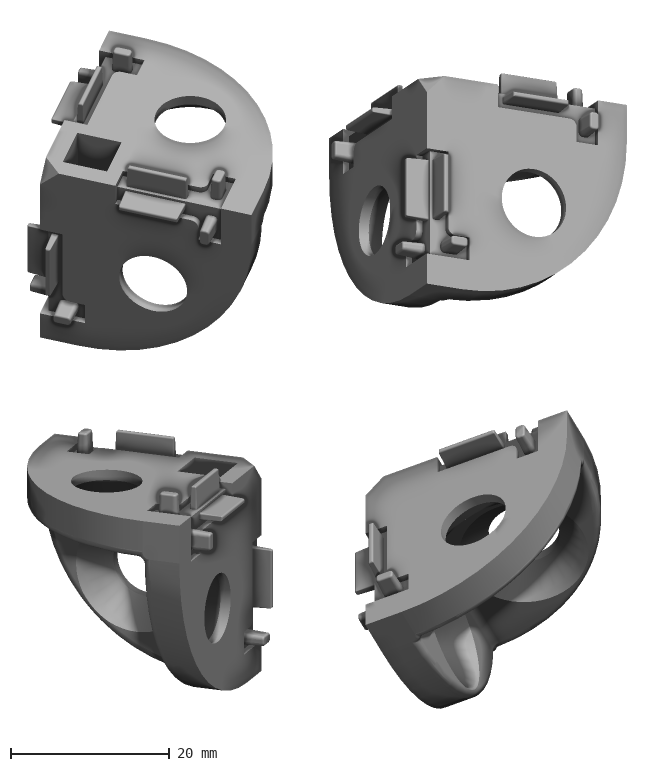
import cadquery as cq

OVERALL = 30.2
PIN_RISE = 2.17
SIDE = OVERALL - PIN_RISE
WALL = 5.0
OUTER_RADIUS = SIDE - WALL
INNER_FILLET = 1.0
CORNER_CUT = 2.5

WINDOW_CENTER = 15.0
WINDOW_RADIUS = 4.5
WINDOW_LAND = 1.4
FLARE_RADIUS = WINDOW_RADIUS + WALL - WINDOW_LAND

SEAT_DEPTH = 0.85
SEAT_START = 10.0
SEAT_END = 24.0
SEAT_WIDTH = 3.02
SEAT_LEG_LENGTH = 5.98
SEAT_LEG_WIDTH = 3.02
SEAT_FILLET = 1.0

PIN_DRAFT = 3.0
BLADE_LENGTH = 8.03
BLADE_THICKNESS = 0.97
BLADE_CENTER = (15.0, 1.72)
BLADE_CORNER = 0.2
PEG_WIDTH = 1.57
PEG_LENGTH = 2.6
PEG_CENTER = (22.47, 3.6)
PEG_CORNER = 0.57
TIP_ROUND = 0.25

SOCKET_SIDE = 5.85
SOCKET_CENTER = 5.22
SOCKET_DEPTH = 8.0
SOCKET_DRAFT = 2.0

DIAGONAL = (-1, -1, 1)
SELECT_MARGIN = 0.3


def on_three_plates(shape):
    """Repeat a top-plate shape on all three plates."""
    turned = [shape.rotate((0, 0, 0), DIAGONAL, angle) for angle in (120, 240)]
    return shape.union(turned[0]).union(turned[1])


def on_both_edges(shape):
    """Repeat a shape from the front edge of the top plate on its left edge."""
    swapped = shape.mirror("XZ").rotate((0, 0, 0), (0, 0, 1), 90)
    return shape.union(swapped)


def plate():
    """Top plate: a square with one corner replaced by a large arc."""
    arc_start = SIDE - OUTER_RADIUS
    arc_middle = arc_start + OUTER_RADIUS * 0.5 ** 0.5
    return (
        cq.Workplane("XY")
        .lineTo(SIDE, 0)
        .lineTo(SIDE, arc_start)
        .threePointArc((arc_middle, arc_middle), (arc_start, SIDE))
        .lineTo(0, SIDE)
        .close()
        .extrude(-WALL)
    )


def corner_shell():
    """Three plates joined, with their inner edges filleted."""
    shell = on_three_plates(plate())
    near = WALL - SELECT_MARGIN
    inner_edges = cq.selectors.BoxSelector((near, near, -near), (SIDE, SIDE, -SIDE))
    return shell.edges(inner_edges).fillet(INNER_FILLET)


def window():
    """Cutter for the round window: a straight land, then a cone."""
    return (
        cq.Workplane("XZ")
        .lineTo(WINDOW_RADIUS, 0)
        .lineTo(WINDOW_RADIUS, -WINDOW_LAND)
        .lineTo(FLARE_RADIUS, -WALL)
        .lineTo(0, -WALL)
        .close()
        .revolve(360, (0, 0, 0), (0, 1, 0))
        .translate((WINDOW_CENTER, WINDOW_CENTER, 0))
    )


def seat():
    """Cutter for the L-shaped seat by the front edge."""
    leg_start = SEAT_END - SEAT_LEG_WIDTH
    return (
        cq.Workplane("XY")
        .moveTo(SEAT_START, 0)
        .lineTo(SEAT_END, 0)
        .lineTo(SEAT_END, SEAT_LEG_LENGTH)
        .lineTo(leg_start, SEAT_LEG_LENGTH)
        .lineTo(leg_start, SEAT_WIDTH + SEAT_FILLET)
        .radiusArc((leg_start - SEAT_FILLET, SEAT_WIDTH), SEAT_FILLET)
        .lineTo(SEAT_START, SEAT_WIDTH)
        .close()
        .extrude(-SEAT_DEPTH)
    )


def pin(center, size_x, size_y, corner):
    """Drafted pin with rounded corners and tip, standing on the seat floor."""
    outline = cq.Sketch().rect(size_x, size_y).vertices().fillet(corner)
    return (
        cq.Workplane("XY", origin=(*center, -SEAT_DEPTH))
        .placeSketch(outline)
        .extrude(SEAT_DEPTH + PIN_RISE, taper=PIN_DRAFT)
        .faces(">Z")
        .edges()
        .fillet(TIP_ROUND)
    )


def socket():
    """Cutter for the drafted square socket."""
    return (
        cq.Workplane("XY")
        .center(SOCKET_CENTER, SOCKET_CENTER)
        .rect(SOCKET_SIDE, SOCKET_SIDE)
        .extrude(-SOCKET_DEPTH, taper=SOCKET_DRAFT)
    )


def corner_tip():
    """Tetrahedron that is removed from the outer corner."""
    x_end = cq.Vector(CORNER_CUT, 0, 0)
    y_end = cq.Vector(0, CORNER_CUT, 0)
    z_end = cq.Vector(0, 0, -CORNER_CUT)
    corner = cq.Vector(0, 0, 0)
    triangles = [
        (corner, x_end, y_end),
        (corner, y_end, z_end),
        (corner, z_end, x_end),
        (x_end, y_end, z_end),
    ]
    faces = [cq.Face.makeFromWires(cq.Wire.makePolygon(points, close=True)) for points in triangles]
    return cq.Workplane(cq.Solid.makeSolid(cq.Shell.makeShell(faces)))


blade = pin(BLADE_CENTER, BLADE_LENGTH, BLADE_THICKNESS, BLADE_CORNER)
peg = pin(PEG_CENTER, PEG_WIDTH, PEG_LENGTH, PEG_CORNER)

result = (
    corner_shell()
    .cut(on_three_plates(window()))
    .cut(on_three_plates(on_both_edges(seat())))
    .cut(socket())
    .cut(corner_tip())
    .union(on_three_plates(on_both_edges(blade.union(peg))))
)